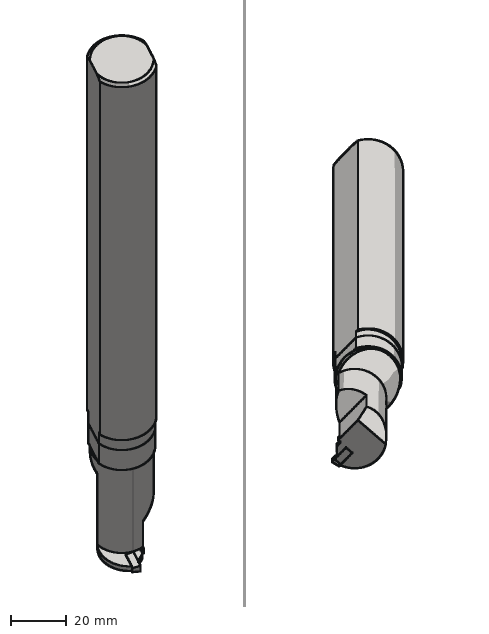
import cadquery as cq

total_length = 254.0

shank_diameter = 25.5
flat_spacing = 21.8
spigot_diameter = 24.5
spigot_top = 64.5
top_chamfer_radial = 1.3
top_chamfer_height = 1.0

joint_height = 58.7
collar_bottom = 48.0
neck_diameter = 23.0
bore_diameter = 22.9
bore_offset = 7.0
plate_bottom = 0.5
plate_top = 3.0
nose_chamfer = 5.3

gullet_floor = 4.0
gullet_low = 16.8
gullet_slope = 0.9

ridge_height = 2.8
ridge_end = 13.7
insert_inner = 11.7
insert_tip = 19.0
edge_start = 17.8
insert_thickness = 3.0
insert_relief = 0.38

neck_radius = neck_diameter / 2
bore_radius = bore_diameter / 2
bore_left = bore_offset - bore_radius


def cylinder(diameter, bottom, top, center_x=0):
    """Upright cylinder between two heights."""
    return cq.Workplane("XY", origin=(center_x, 0, bottom)).circle(diameter / 2).extrude(top - bottom)


def between_flats(body):
    """Trim a round body to the two parallel flats facing -Y and +Y."""
    return body.intersect(cq.Workplane("XY").box(2 * shank_diameter, flat_spacing, 2 * total_length))


def make_shank():
    """Round bar with two flats, a chamfered top and a slightly thinner spigot below."""
    shank_radius = shank_diameter / 2
    profile = (
        cq.Workplane("XZ")
        .moveTo(0, joint_height)
        .lineTo(spigot_diameter / 2, joint_height)
        .lineTo(spigot_diameter / 2, spigot_top)
        .lineTo(shank_radius, spigot_top)
        .lineTo(shank_radius, total_length - top_chamfer_height)
        .lineTo(shank_radius - top_chamfer_radial, total_length)
        .lineTo(0, total_length)
        .close()
    )
    return between_flats(profile.revolve(360, (0, 0, 0), (0, 1, 0)))


def make_neck():
    """Neck common to the bar and the bored hole, flaring at 45 degrees up to the collar."""
    neck = cylinder(neck_diameter, plate_bottom, collar_bottom)
    flare_rise = neck_radius + bore_left
    flare_top_radius = bore_radius + flare_rise
    clearance = (
        cq.Workplane("XZ")
        .moveTo(0, plate_bottom)
        .lineTo(bore_radius, plate_bottom)
        .lineTo(bore_radius, collar_bottom - flare_rise)
        .lineTo(flare_top_radius, collar_bottom)
        .lineTo(0, collar_bottom)
        .close()
        .revolve(360, (0, 0, 0), (0, 1, 0))
        .translate((bore_offset, 0, 0))
    )
    return neck.intersect(clearance)


def make_gullet():
    """Space cut away on the +Y side, with a sloping run-out at its upper end."""
    reach = neck_diameter
    gullet_top = gullet_low + gullet_slope * (reach - gullet_floor)
    return (
        cq.Workplane("YZ")
        .polyline([(gullet_floor, 0), (reach, 0), (reach, gullet_top), (gullet_floor, gullet_low)])
        .close()
        .extrude(total_length, both=True)
    )


def make_rake_relief():
    """Space on the +Y side of the rake plane Y = 0, ending at a ridge with a 45 degree end."""
    reach = 2 * bore_diameter
    return (
        cq.Workplane("XY")
        .polyline(
            [
                (ridge_end + ridge_height, 0),
                (reach, 0),
                (reach, reach),
                (neck_radius, reach),
                (neck_radius, ridge_height),
                (ridge_end, ridge_height),
            ]
        )
        .close()
        .extrude(plate_top)
    )


def make_nose_cut():
    """45 degree corner removed from the -X side of the lower end."""
    return (
        cq.Workplane("XZ")
        .polyline(
            [
                (bore_left, plate_bottom),
                (bore_left + nose_chamfer, plate_bottom),
                (bore_left, plate_bottom + nose_chamfer),
            ]
        )
        .close()
        .extrude(bore_diameter, both=True)
    )


def insert_outline(tip, edge_bottom, top):
    """Corners of a cross-section of the insert, deepest at its tip."""
    return [
        (insert_inner, top),
        (insert_inner, plate_bottom),
        (edge_start, plate_bottom),
        (tip, edge_bottom),
        (tip, top),
    ]


def make_insert():
    """Cutting insert with its rake face on Y = 0 and all cutting edges relieved towards -Y."""
    return (
        cq.Workplane("XZ")
        .polyline(insert_outline(insert_tip, 0, plate_top))
        .close()
        .workplane(offset=insert_thickness)
        .polyline(insert_outline(insert_tip - insert_relief, insert_relief, plate_top - insert_relief))
        .close()
        .loft(ruled=True)
    )


def make_insert_seat():
    """Notch through the height of the plate that holds the insert."""
    return (
        cq.Workplane("XY")
        .moveTo(insert_inner, -insert_thickness)
        .lineTo(insert_tip, -insert_thickness)
        .lineTo(insert_tip, 0)
        .lineTo(insert_inner, 0)
        .close()
        .extrude(plate_top)
    )


def make_head():
    """Collar, neck and cutter plate in one piece, with a seat for the insert."""
    collar = between_flats(cylinder(spigot_diameter, collar_bottom, joint_height))
    plate = cylinder(bore_diameter, plate_bottom, plate_top, bore_offset)
    head = collar.union(make_neck()).union(plate)
    return head.cut(make_gullet()).cut(make_rake_relief()).cut(make_nose_cut()).cut(make_insert_seat())


shank = make_shank()
head = make_head()
insert = make_insert()

result = cq.Compound.makeCompound([shank.solids().val(), head.solids().val(), insert.val()])